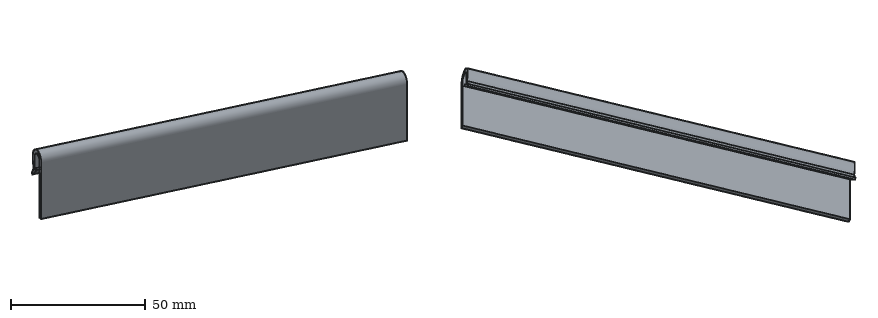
import cadquery as cq
import math

length = 152.4
height = 26.92
width = 7.85

wall = 1.55
hook_radius = 3.55
bore_radius = hook_radius - wall
hook_center_x = -hook_radius
hook_center_z = height - hook_radius
leg_outer_x = hook_center_x - hook_radius
leg_inner_x = hook_center_x - bore_radius

taper_start_z = 21.5
neck_z = 18.75
neck_inset = 0.65
neck_x = leg_outer_x + neck_inset

barb_thickness = 0.8
barb_angle = math.radians(42)
barb_run = 4.0
flank_hollow = 0.22
lip_x = -width
lip_z = 15.9
lip_width = 0.35
lip_height = 0.75
lip_bottom_x = lip_x + lip_width
lip_bottom_z = lip_z - lip_height
point_bottom_x = lip_bottom_x + barb_run
point_bottom_z = lip_bottom_z + barb_run * math.tan(barb_angle)
point_top_x = point_bottom_x - barb_thickness * math.sin(barb_angle)
point_top_z = point_bottom_z + barb_thickness * math.cos(barb_angle)
barb_root_z = point_top_z - (point_top_x - leg_inner_x) * math.tan(barb_angle)


def clip_profile():
    """Closed cross-section in the XZ plane, starting at the foot of the long wall."""
    sketch = cq.Workplane("XZ").moveTo(-wall, 0).lineTo(0, 0)

    sketch = sketch.lineTo(0, hook_center_z)
    sketch = sketch.threePointArc((hook_center_x, height), (leg_outer_x, hook_center_z))
    sketch = sketch.lineTo(leg_outer_x, taper_start_z)
    sketch = sketch.tangentArcPoint((neck_x, neck_z), relative=False)

    sketch = sketch.sagittaArc((lip_x, lip_z), flank_hollow)
    sketch = sketch.lineTo(lip_bottom_x, lip_bottom_z)
    sketch = sketch.lineTo(point_bottom_x, point_bottom_z)
    sketch = sketch.lineTo(point_top_x, point_top_z)
    sketch = sketch.lineTo(leg_inner_x, barb_root_z)

    sketch = sketch.lineTo(leg_inner_x, hook_center_z)
    sketch = sketch.threePointArc((hook_center_x, hook_center_z + bore_radius), (-wall, hook_center_z))
    return sketch.close()


result = clip_profile().extrude(length / 2, both=True)